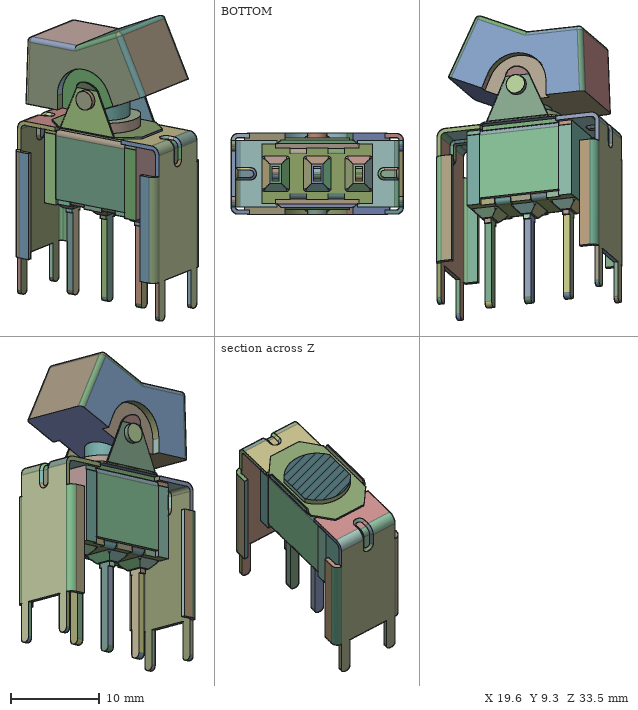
import cadquery as cq
import math


FRAME_LENGTH = 19.58
FRAME_WIDTH = 7.58
FRAME_TOP = 20.68
FRAME_SHEET = 0.5
FRAME_BEND = 1.0
FRAME_BOTTOM = 4.65
FRAME_UNDERSIDE = FRAME_TOP - FRAME_SHEET
NOTCH_LENGTH = 9.12
NOTCH_DEPTH = 0.8
WING_TOP = 17.2
WING_BEND = 0.8
WING_REACH = 2.08

GROOVE_WIDTH = 1.4
GROOVE_DEPTH = 0.3
GROOVE_TOP_REACH = 1.68
GROOVE_SIDE_BOTTOM = 18.2

PIN_WIDTH = 1.2
PIN_TIP_RADIUS = 0.55
TERMINAL_THICKNESS = 0.8
TERMINAL_PITCH = 4.73
SHOULDER_BOTTOM = 9.85
SHOULDER_WIDTH = 1.68

BODY_LENGTH = 12.6
BODY_BOTTOM = 11.33
COVER_LENGTH = 9.52
COVER_WIDTH = 6.85
COVER_BOTTOM = 12.05
COVER_TOP_RADIUS = 0.65
COLUMN_WIDTH = 6.77
COLUMN_NECK_WIDTH = 6.65
COLUMN_NECK_HEIGHT = 0.5
BASE_WIDTH = 5.7
BASE_EDGE_RADIUS = 0.57
TAB_WIDTH = 5.83
TAB_LENGTH = 2.4
END_TAB_LENGTH = 1.65
SEAL_LENGTH = 3.12
SEAL_WIDTH = 4.02
SEAL_HEIGHT = 0.95
SEAL_CORNER = 0.35
SEAL_ANGLE = 44.0

COLLAR_DIAMETER = 7.6
COLLAR_WIDTH = 6.47
COLLAR_TOP = 22.1
NECK_DIAMETER = 5.2

BRACKET_SHEET = 0.2
BRACKET_LENGTH = 12.47
BRACKET_TOP = FRAME_TOP + BRACKET_SHEET
BRACKET_CORNER_LENGTH = 2.18
BRACKET_CORNER_WIDTH = 1.85
EAR_OUTER_Y = 4.05
EAR_BASE_LENGTH = 7.37
EAR_NECK_LENGTH = 2.6
EAR_NECK_Z = 25.98
EAR_TOP = 26.9
EAR_TIP_DIAMETER = 3.2
LIP_FLARE = 0.5

PIVOT_Z = 24.77
PIVOT_DIAMETER = 2.2
ROCKER_WIDTH = 9.3
WING_ANGLE = 12.0
ROCKER_TILT = 12.0
ROCKER_ABOVE = 6.2
ROCKER_BELOW = 1.7
ROCKER_TOP_REACH = 7.98
ROCKER_BOTTOM_REACH = 8.28
ROCKER_RADIUS = 0.55
RECESS_RADIUS = 3.7
RECESS_DEPTH = 1.0
RECESS_LEG_MARGIN = 1.68


def block(length, width, bottom, top, x=0, y=0):
    """Upright box centred on (x, y)."""
    return cq.Workplane("XY", origin=(x, y, bottom)).rect(length, width).extrude(top - bottom)


def pin(thickness, x, y, top):
    """Flat pin with a rounded tip resting on Z = 0."""
    return block(thickness, PIN_WIDTH, 0, top, x, y).edges("|X and <Z").fillet(PIN_TIP_RADIUS)


def with_mirror(shape, plane):
    """The shape joined with its mirror image."""
    return shape.union(shape.mirror(plane))


def mirror_points(points):
    """Mirror images across X = 0, in reverse order so that they close an outline."""
    return [(-x, y) for x, y in reversed(points)]


def mirrored_outline(points):
    """Closed outline from the points of its right half."""
    return points + mirror_points(points)


def pressed_strip(offset):
    """Strip of trapezoid section around the -X frame bend, starting `offset` below the outer surface."""
    side_x = -FRAME_LENGTH / 2 + offset
    top_z = FRAME_TOP - offset
    bend = FRAME_BEND - offset
    top_end_x = side_x + GROOVE_TOP_REACH
    path = (
        cq.Workplane("XZ")
        .moveTo(side_x, GROOVE_SIDE_BOTTOM)
        .lineTo(side_x, top_z - bend)
        .radiusArc((side_x + bend, top_z), bend)
        .lineTo(top_end_x, top_z)
    )
    wide = GROOVE_WIDTH / 2
    narrow = wide - GROOVE_DEPTH
    section = [(0, -wide), (0, wide), (GROOVE_DEPTH, narrow), (GROOVE_DEPTH, -narrow)]
    strip = cq.Workplane("XY", origin=(side_x, 0, GROOVE_SIDE_BOTTOM)).polyline(section).close().sweep(path)
    ends = [
        ((side_x, 0, GROOVE_SIDE_BOTTOM), (1, 0, 0)),
        ((top_end_x, 0, top_z), (0, 0, -1)),
    ]
    for position, direction in ends:
        cone = cq.Solid.makeCone(wide, narrow, GROOVE_DEPTH, cq.Vector(*position), cq.Vector(*direction))
        strip = strip.union(cq.Workplane(obj=cone))
    return strip


def support_frame():
    half_length = FRAME_LENGTH / 2
    outside = block(FRAME_LENGTH, FRAME_WIDTH, FRAME_BOTTOM, FRAME_TOP).edges("|Y and >Z").fillet(FRAME_BEND)
    inside = (
        block(FRAME_LENGTH - 2 * FRAME_SHEET, FRAME_WIDTH, FRAME_BOTTOM, FRAME_UNDERSIDE)
        .edges("|Y and >Z")
        .fillet(FRAME_BEND - FRAME_SHEET)
    )
    frame = outside.cut(inside)
    for side in (-1, 1):
        notch_y = side * (FRAME_WIDTH - NOTCH_DEPTH) / 2
        frame = frame.cut(block(NOTCH_LENGTH, NOTCH_DEPTH, FRAME_UNDERSIDE, FRAME_TOP, 0, notch_y))

    wings_width = FRAME_WIDTH + 2 * WING_BEND
    wings_x = -half_length + WING_REACH / 2
    wings_outside = block(WING_REACH, wings_width, FRAME_BOTTOM, WING_TOP, wings_x)
    wings_outside = wings_outside.edges("|Z and <X").fillet(WING_BEND)
    inside_width = wings_width - 2 * FRAME_SHEET
    wings_inside = block(WING_REACH, inside_width, FRAME_BOTTOM, WING_TOP, wings_x + FRAME_SHEET)
    wings_inside = wings_inside.edges("|Z and <X").fillet(WING_BEND - FRAME_SHEET)
    wall = wings_outside.cut(wings_inside)

    for side in (-1, 1):
        foot_y = side * (FRAME_WIDTH - PIN_WIDTH) / 2
        wall = wall.union(pin(FRAME_SHEET, -half_length + FRAME_SHEET / 2, foot_y, WING_TOP))
    frame = frame.union(with_mirror(wall, "YZ"))

    ridge = pressed_strip(FRAME_SHEET)
    groove = pressed_strip(0)
    return frame.union(with_mirror(ridge, "YZ")).cut(groove).cut(groove.mirror("YZ"))


def switch_body():
    body = block(COVER_LENGTH, COVER_WIDTH, COVER_BOTTOM, FRAME_UNDERSIDE)
    body = body.edges("|X and >Z").fillet(COVER_TOP_RADIUS)
    column_length = (BODY_LENGTH - COVER_LENGTH) / 2
    column_x = (BODY_LENGTH - column_length) / 2
    neck_bottom = FRAME_UNDERSIDE - COLUMN_NECK_HEIGHT
    column = block(column_length, COLUMN_WIDTH, BODY_BOTTOM, neck_bottom, column_x)
    column = column.union(block(column_length, COLUMN_NECK_WIDTH, neck_bottom, FRAME_UNDERSIDE, column_x))
    base = block(COVER_LENGTH, BASE_WIDTH, BODY_BOTTOM, COVER_BOTTOM)
    base = base.edges("|X and <Z").fillet(BASE_EDGE_RADIUS)
    body = body.union(base).union(with_mirror(column, "YZ"))

    body = body.union(block(TAB_LENGTH, TAB_WIDTH, BODY_BOTTOM, COVER_BOTTOM))
    end_tab_x = (COVER_LENGTH - END_TAB_LENGTH) / 2
    end_tab = block(END_TAB_LENGTH, TAB_WIDTH, BODY_BOTTOM, COVER_BOTTOM, end_tab_x)
    body = body.union(with_mirror(end_tab, "YZ"))

    for x in (-TERMINAL_PITCH, 0, TERMINAL_PITCH):
        seal = (
            cq.Workplane("XY", origin=(x, 0, BODY_BOTTOM))
            .sketch()
            .rect(SEAL_LENGTH, SEAL_WIDTH)
            .vertices()
            .fillet(SEAL_CORNER)
            .finalize()
            .extrude(-SEAL_HEIGHT, taper=SEAL_ANGLE)
        )
        shoulder = block(TERMINAL_THICKNESS, SHOULDER_WIDTH, SHOULDER_BOTTOM, BODY_BOTTOM, x)
        terminal = pin(TERMINAL_THICKNESS, x, 0, BODY_BOTTOM)
        body = body.union(seal).union(shoulder).union(terminal)
    return body


def bushing():
    """Flat-sided collar and round neck reaching up into the rocker."""
    start = cq.Workplane("XY", origin=(0, 0, FRAME_TOP))
    collar = start.circle(COLLAR_DIAMETER / 2).extrude(COLLAR_TOP - FRAME_TOP)
    collar = collar.intersect(block(COLLAR_DIAMETER, COLLAR_WIDTH, FRAME_TOP, COLLAR_TOP))
    return collar.union(start.circle(NECK_DIAMETER / 2).extrude(PIVOT_Z - FRAME_TOP))


def bracket_ear():
    """Tapered ear on the -Y side with a lip flared outward at its tip."""
    outer, inner = -EAR_OUTER_Y, -EAR_OUTER_Y + BRACKET_SHEET
    profile = [
        (inner + BRACKET_SHEET, FRAME_TOP),
        (inner, FRAME_TOP),
        (outer, BRACKET_TOP),
        (outer, EAR_NECK_Z),
        (outer - LIP_FLARE, EAR_TOP),
        (inner - LIP_FLARE, EAR_TOP),
        (inner, EAR_NECK_Z),
        (inner, BRACKET_TOP),
        (inner + BRACKET_SHEET, BRACKET_TOP),
    ]
    sheet = cq.Workplane("YZ").polyline(profile).close().extrude(EAR_BASE_LENGTH / 2, both=True)

    tip_radius = EAR_TIP_DIAMETER / 2
    neck_x = EAR_NECK_LENGTH / 2
    base_x = EAR_BASE_LENGTH / 2
    shoulder_z = EAR_TOP - tip_radius + math.sqrt(tip_radius**2 - neck_x**2)
    outline = (
        cq.Workplane("XZ")
        .moveTo(-base_x, FRAME_TOP)
        .lineTo(-base_x, BRACKET_TOP)
        .lineTo(-neck_x, shoulder_z)
        .threePointArc((0, EAR_TOP), (neck_x, shoulder_z))
        .lineTo(base_x, BRACKET_TOP)
        .lineTo(base_x, FRAME_TOP)
        .close()
        .extrude(FRAME_WIDTH)
    )
    return sheet.intersect(outline)


def pivot_bracket():
    half_length = BRACKET_LENGTH / 2
    half_width = EAR_OUTER_Y - BRACKET_SHEET
    side_y = half_width - BRACKET_CORNER_WIDTH
    end_x = half_length - BRACKET_CORNER_LENGTH
    octagon = mirrored_outline(
        [(end_x, -half_width), (half_length, -side_y), (half_length, side_y), (end_x, half_width)]
    )
    plate = cq.Workplane("XY", origin=(0, 0, FRAME_TOP)).polyline(octagon).close().extrude(BRACKET_SHEET)
    return plate.union(with_mirror(bracket_ear(), "XZ"))


def wing_point(reach, height):
    """Point on the +X rocker wing, relative to the pivot, with the rocker upright."""
    angle = math.radians(WING_ANGLE)
    return (
        reach * math.cos(angle) - height * math.sin(angle),
        reach * math.sin(angle) + height * math.cos(angle),
    )


def rocker():
    """Rocker cap, built upright around the pivot and then tilted."""
    lean = math.cos(math.radians(WING_ANGLE))
    bottom_valley = (0, -ROCKER_BELOW / lean)
    top_valley = (0, ROCKER_ABOVE / lean)
    right_bottom = wing_point(ROCKER_BOTTOM_REACH, -ROCKER_BELOW)
    right_top = wing_point(ROCKER_TOP_REACH, ROCKER_ABOVE)
    left_top, left_bottom = mirror_points([right_bottom, right_top])
    outline = [bottom_valley, right_bottom, right_top, top_valley, left_top, left_bottom]
    half_width = ROCKER_WIDTH / 2
    cap = cq.Workplane("XZ").polyline(outline).close().extrude(half_width, both=True)

    tip_edges = cap.edges("|Y and >Z")
    above_underside = cq.selectors.BoxSelector(
        (left_bottom[0], -ROCKER_WIDTH, right_bottom[1]),
        (right_bottom[0], ROCKER_WIDTH, right_top[1]),
    )
    side_edges = cap.faces("|Y").edges(above_underside)
    cap = tip_edges.add(side_edges).fillet(ROCKER_RADIUS)

    floor_y = half_width - RECESS_DEPTH
    leg_bottom = -ROCKER_BELOW - RECESS_LEG_MARGIN
    legs = mirrored_outline([wing_point(RECESS_RADIUS, 0), wing_point(RECESS_RADIUS, leg_bottom)])
    for side in (-1, 1):
        face = cq.Workplane("XZ", origin=(0, side * floor_y, 0))
        depth = -side * RECESS_DEPTH
        cap = cap.cut(face.circle(RECESS_RADIUS).extrude(depth))
        cap = cap.cut(face.polyline(legs).close().extrude(depth))

    pivot = cq.Workplane("XZ").circle(PIVOT_DIAMETER / 2).extrude(half_width, both=True)
    return cap.union(pivot).rotate((0, 0, 0), (0, 1, 0), -ROCKER_TILT).translate((0, 0, PIVOT_Z))


result = support_frame().union(switch_body()).union(bushing()).union(pivot_bracket()).union(rocker())